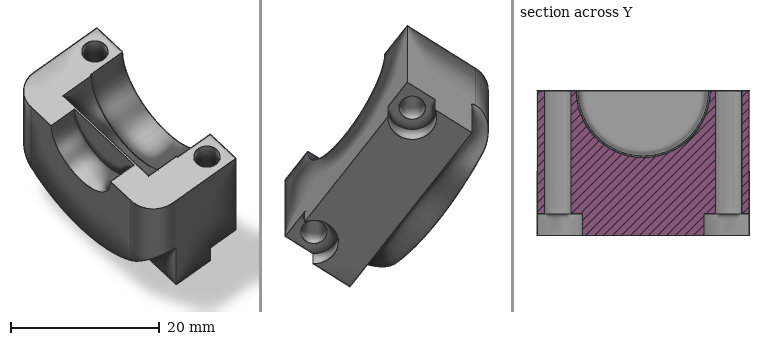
import cadquery as cq

width = 28.5
depth = 15.25
height = 19.5
front_corner_radius = 4.02

front_bore_radius = 6.1
front_bore_depth = 4.2
web_thickness = 0.28
rear_bore_radius = 8.98
rear_bore_depth = 5.75
middle_bore_radius = 8.78

overhang_depth = 4.62
cone_front_radius = 17.27
cone_rear_radius = 18.0

hole_diameter = 3.5
hole_edge_distance = 2.76
spotface_radius = 3.28
spotface_depth = 2.94


def bore(radius, start, end):
    """Cylinder along +Y about the bore axis, from Y = start to Y = end."""
    plane = cq.Plane(origin=(0, start, height), xDir=(1, 0, 0), normal=(0, 1, 0))
    return cq.Workplane(plane).circle(radius).extrude(end - start)


def make_block():
    block = cq.Workplane("XY").box(width, depth, height, centered=(True, False, False))
    return block.edges("|Z and <Y").fillet(front_corner_radius)


def make_front_overhang(block):
    """Front slice of the block, trimmed below to the cone."""
    cone = cq.Workplane(
        cq.Solid.makeCone(
            cone_front_radius,
            cone_rear_radius,
            overhang_depth,
            pnt=cq.Vector(0, 0, height),
            dir=cq.Vector(0, 1, 0),
        )
    )
    return block.intersect(cone)


def make_body():
    """Full-height rear body joined to the front overhang."""
    block = make_block()
    rear_body = (
        cq.Workplane("XY")
        .box(width, depth - overhang_depth, height, centered=(True, False, False))
        .translate((0, overhang_depth, 0))
    )
    return rear_body.union(make_front_overhang(block))


def cut_bores(body):
    middle_start = front_bore_depth + web_thickness
    rear_start = depth - rear_bore_depth
    body = body.cut(bore(front_bore_radius, 0, front_bore_depth))
    body = body.cut(bore(middle_bore_radius, middle_start, rear_start))
    return body.cut(bore(rear_bore_radius, rear_start, depth))


def cut_screw_holes(body):
    hole_x = width / 2 - hole_edge_distance
    hole_y = depth - hole_edge_distance
    centres = [(-hole_x, hole_y), (hole_x, hole_y)]
    holes = cq.Workplane("XY").pushPoints(centres).circle(hole_diameter / 2).extrude(height)
    spotfaces = cq.Workplane("XY").pushPoints(centres).circle(spotface_radius).extrude(spotface_depth)
    corners = (
        cq.Workplane("XY")
        .pushPoints([(-width / 2, depth), (width / 2, depth)])
        .rect(2 * hole_edge_distance, 2 * hole_edge_distance)
        .extrude(spotface_depth)
    )
    return body.cut(holes).cut(spotfaces).cut(corners)


result = cut_screw_holes(cut_bores(make_body()))